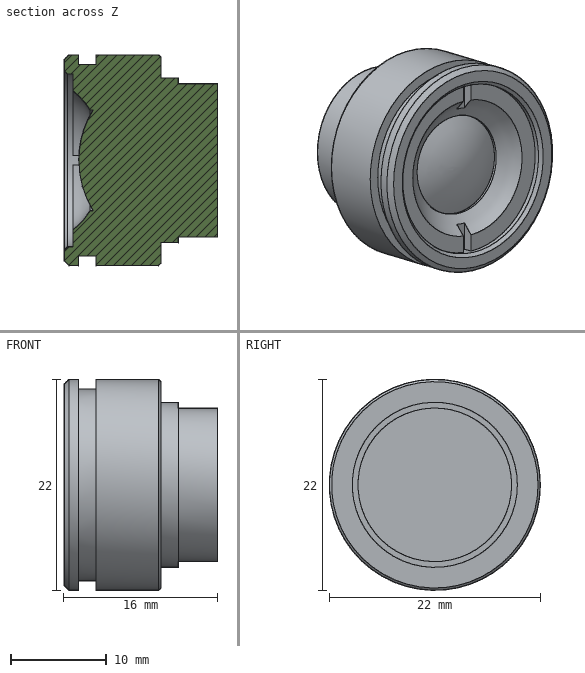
import cadquery as cq
import math

length = 16.0
body_radius = 11.0
front_chamfer = 0.5
rear_chamfer = 0.25

groove_start = 1.5
groove_end = 3.3
groove_radius = 10.0

body_end = 10.1
shoulder_end = 11.9
shoulder_radius = 8.6
spigot_radius = 8.0

recess_radius = 9.0
recess_chamfer = 0.35
recess_depth = 0.9

bowl_outer_radius = 7.25
bowl_depth = 1.8
bowl_sphere_radius = 8.0

lens_radius = 5.25
lens_wall = 0.3
lens_sphere_radius = 10.0

slot_width = 1.0
slot_depth = 1.1

bowl_end = recess_depth + bowl_depth
lens_edge = bowl_end + lens_wall


def arc_height(chord, radius):
    """Height of a circular arc above its chord."""
    return radius - math.sqrt(radius**2 - (chord / 2) ** 2)


def bowl_arc_middle():
    """Middle of the concave bowl arc, pushed from its chord into the material."""
    radial_run = bowl_outer_radius - lens_radius
    chord = math.hypot(bowl_depth, radial_run)
    sag = arc_height(chord, bowl_sphere_radius)
    x = (recess_depth + bowl_end) / 2 + sag * radial_run / chord
    r = (bowl_outer_radius + lens_radius) / 2 + sag * bowl_depth / chord
    return x, r


def make_revolved_body():
    """Half section in (x, radius), revolved about the X axis."""
    lens_apex = lens_edge - arc_height(2 * lens_radius, lens_sphere_radius)
    half_edge_drop = arc_height(lens_radius, lens_sphere_radius)
    section = (
        cq.Workplane("XY")
        .moveTo(lens_apex, 0)
        .threePointArc((lens_apex + half_edge_drop, lens_radius / 2), (lens_edge, lens_radius))
        .lineTo(bowl_end, lens_radius)
        .threePointArc(bowl_arc_middle(), (recess_depth, bowl_outer_radius))
        .lineTo(recess_depth, recess_radius)
        .lineTo(recess_chamfer, recess_radius)
        .lineTo(0, recess_radius + recess_chamfer)
        .lineTo(0, body_radius - front_chamfer)
        .lineTo(front_chamfer, body_radius)
        .lineTo(groove_start, body_radius)
        .lineTo(groove_start, groove_radius)
        .lineTo(groove_end, groove_radius)
        .lineTo(groove_end, body_radius)
        .lineTo(body_end - rear_chamfer, body_radius)
        .lineTo(body_end, body_radius - rear_chamfer)
        .lineTo(body_end, shoulder_radius)
        .lineTo(shoulder_end, shoulder_radius)
        .lineTo(shoulder_end, spigot_radius)
        .lineTo(length, spigot_radius)
        .lineTo(length, 0)
        .close()
    )
    return section.revolve(360, (0, 0, 0), (1, 0, 0))


def make_slot_cutter():
    """Bar across the recess, trimmed to the ring between the lens and the recess wall."""
    slot_floor = recess_depth + slot_depth
    bar = cq.Workplane("XY").box(slot_floor, slot_width, 2 * body_radius, centered=(False, True, True))
    ring = cq.Workplane("YZ").circle(recess_radius).circle(lens_radius).extrude(slot_floor)
    return bar.intersect(ring)


result = make_revolved_body().cut(make_slot_cutter())